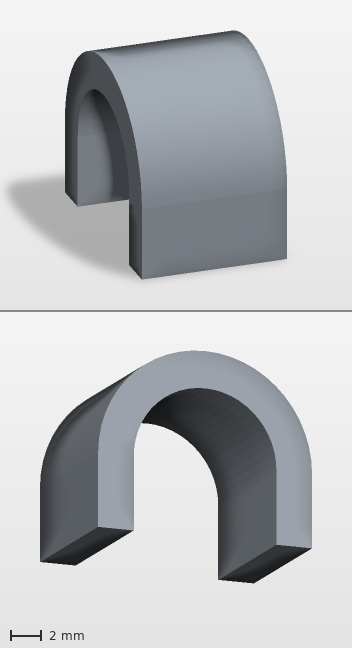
import cadquery as cq

outer_radius = 7.5
wall_thickness = 2.5
leg_height = 5.0
length = 10.0

inner_radius = outer_radius - wall_thickness


def arch_prism(radius):
    """Solid arch along Y: a half disc of the given radius standing on straight legs."""
    return (
        cq.Workplane("XZ")
        .moveTo(-radius, -leg_height)
        .lineTo(-radius, 0)
        .threePointArc((0, radius), (radius, 0))
        .lineTo(radius, -leg_height)
        .close()
        .extrude(length / 2, both=True)
    )


result = arch_prism(outer_radius).cut(arch_prism(inner_radius))